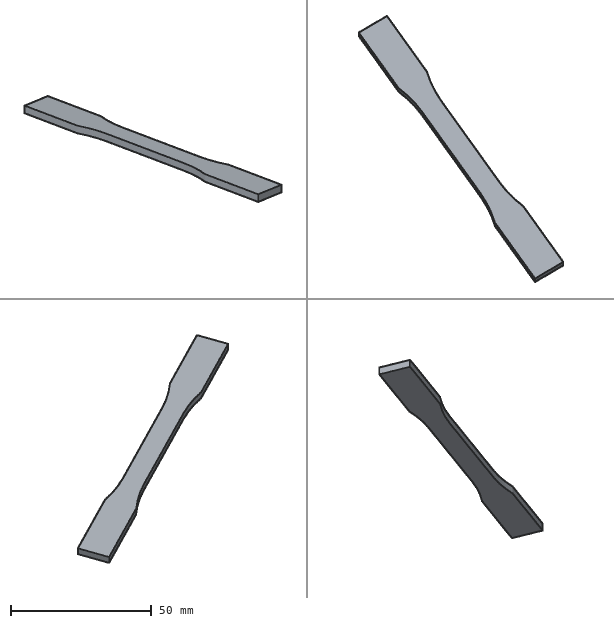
import cadquery as cq
import math

length = 115.0
grip_width = 12.0
gauge_width = 8.0
thickness = 3.0
gauge_length = 38.0
shoulder_length = 12.4

shoulder_rise = (grip_width - gauge_width) / 2
shoulder_radius = (shoulder_length**2 + shoulder_rise**2) / (2 * shoulder_rise)
half_sweep = math.asin(shoulder_length / shoulder_radius) / 2

gauge_end = gauge_length / 2
grip_start = gauge_end + shoulder_length
arc_mid_x = gauge_end + shoulder_radius * math.sin(half_sweep)
arc_mid_y = gauge_width / 2 + shoulder_radius * (1 - math.cos(half_sweep))

result = (
    cq.Workplane("XY")
    .moveTo(0, 0)
    .lineTo(length / 2, 0)
    .lineTo(length / 2, grip_width / 2)
    .lineTo(grip_start, grip_width / 2)
    .threePointArc((arc_mid_x, arc_mid_y), (gauge_end, gauge_width / 2))
    .lineTo(0, gauge_width / 2)
    .close()
    .extrude(thickness)
    .translate((0, 0, -thickness / 2))
)
result = result.union(result.mirror("YZ"))
result = result.union(result.mirror("XZ")).clean()